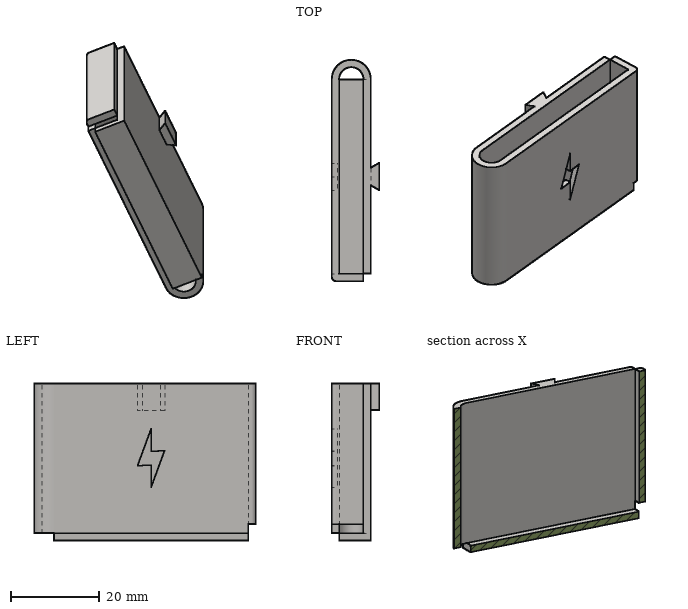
import cadquery as cq

LENGTH = 50.2
HEIGHT = 35.6
WIDTH = 8.9
WALL = 1.7
CORNER_RADIUS = 1.0
END_WALL_GAP = 2.0

RAIL_DEPTH = 1.9
RAIL_HEIGHT = 6.0
RAIL_TIP_WIDTH = 6.3
RAIL_NECK_WIDTH = 4.05

BOLT_DEPTH = 1.3
BOLT_HALF_HEIGHT = 6.65
BOLT_HALF_WIDTH = 3.05
BOLT_BARB_HEIGHT = 1.7
BOLT_NOTCH_HEIGHT = 1.55

outer_radius = WIDTH / 2
cavity_width = WIDTH - 2 * WALL
cavity_radius = cavity_width / 2
arc_start = LENGTH - outer_radius
straight_length = arc_start - WALL
middle_y = WALL + straight_length / 2
middle_z = (WALL + HEIGHT) / 2


def block(x_range, y_range, z_range):
    """Axis-aligned box between the given limits."""
    (x0, x1), (y0, y1), (z0, z1) = x_range, y_range, z_range
    return cq.Workplane("XY").box(x1 - x0, y1 - y0, z1 - z0, centered=False).translate((x0, y0, z0))


def round_ended(x_min, x_max, y_min, radius):
    """Upright prism above the floor with a semicircular back end."""
    return (
        cq.Workplane("XY", origin=(0, 0, WALL))
        .moveTo(x_min, y_min)
        .lineTo(x_max, y_min)
        .lineTo(x_max, arc_start)
        .threePointArc((outer_radius, arc_start + radius), (x_min, arc_start))
        .close()
        .extrude(HEIGHT - WALL)
    )


def make_walls():
    """U-shaped side walls and the raised front end wall."""
    side_walls = round_ended(0, WIDTH, WALL, outer_radius)
    cavity = round_ended(WALL, WIDTH - WALL, WALL, cavity_radius)
    end_wall = block(
        (0, WIDTH - WALL),
        (0, WALL),
        (WALL + END_WALL_GAP, HEIGHT),
    ).edges("|Z and <X and <Y").fillet(CORNER_RADIUS)
    return side_walls.cut(cavity).union(end_wall)


def make_floor():
    """Flat floor, left open under the rounded end of the cavity."""
    return block((WALL, WIDTH), (WALL, arc_start), (0, WALL))


def make_rail():
    """Dovetail that widens away from the wall, flush with the top."""
    tip_x = WIDTH + RAIL_DEPTH
    return (
        cq.Workplane("XY", origin=(0, middle_y, HEIGHT - RAIL_HEIGHT))
        .polyline([
            (WIDTH, -RAIL_NECK_WIDTH / 2),
            (tip_x, -RAIL_TIP_WIDTH / 2),
            (tip_x, RAIL_TIP_WIDTH / 2),
            (WIDTH, RAIL_NECK_WIDTH / 2),
        ])
        .close()
        .extrude(RAIL_HEIGHT)
    )


def make_bolt():
    """Lightning bolt, unchanged by a half turn about its middle."""
    half = [
        (0, BOLT_HALF_HEIGHT),
        (0, BOLT_NOTCH_HEIGHT),
        (-BOLT_HALF_WIDTH, BOLT_BARB_HEIGHT),
    ]
    other_half = [(-y, -z) for y, z in half]
    return (
        cq.Workplane("YZ", origin=(0, middle_y, middle_z))
        .polyline(half + other_half)
        .close()
        .extrude(BOLT_DEPTH)
    )


result = make_walls().union(make_floor()).union(make_rail()).cut(make_bolt())